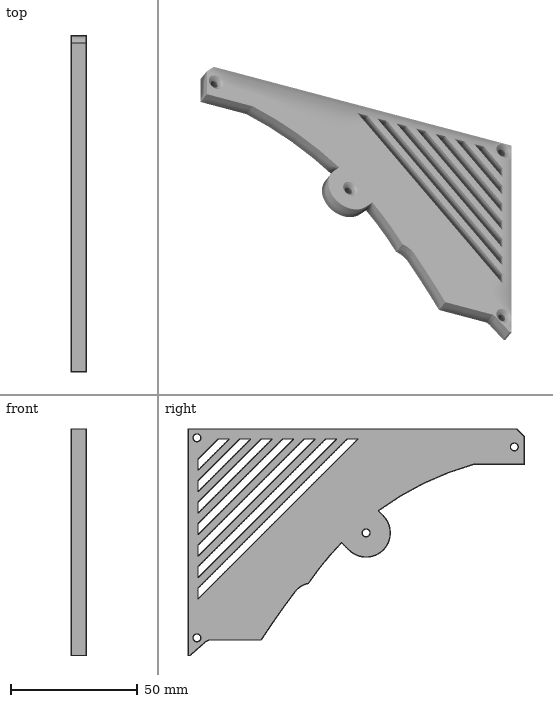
import cadquery as cq
import math

thickness = 6.0
arm_length = 133.0
leg_length = 89.6

arm_end_height = 14.0
arm_end_chamfer = 3.0
arch_start_y = 113.0
arch_end = (47.6, -61.1)
arch_radius = 117.0
step_middle = (45.1, -62.0)
step_end = (42.6, -64.0)
foot_curve_radius = 350.0
foot_z = -83.5
foot_start_y = 28.9
foot_end_y = 8.2
toe_start = (6.9, -84.2)
toe_width = 0.8

lug_center = (70.4, -41.1)
lug_radius = 9.6
neck_length = 14.0
neck_angle = 135.0

hole_diameter = 3.0
countersink_diameter = 6.2
countersink_angle = 90.0
corner_hole_inset = 3.5
arm_hole = (129.0, -7.1)
foot_hole = (corner_hole_inset, -82.6)

slot_count = 7
slot_width = 3.0
slot_pitch = 6.0
slot_border = 4.0
first_slot_leg = 8.0


def midpoint_of_arc(start, end, radius):
    """Middle point of an arc that bulges up toward the square corner."""
    dy = end[0] - start[0]
    dz = end[1] - start[1]
    chord = math.hypot(dy, dz)
    sagitta = radius - math.sqrt(radius**2 - (chord / 2)**2)
    middle_y = (start[0] + end[0]) / 2 + sagitta * dz / chord
    middle_z = (start[1] + end[1]) / 2 - sagitta * dy / chord
    return (middle_y, middle_z)


def plate():
    """Outer profile of the bracket, traced from the square corner along the arm."""
    arch_start = (arch_start_y, -arm_end_height)
    foot_start = (foot_start_y, foot_z)
    return (
        cq.Workplane("YZ")
        .moveTo(0, 0)
        .lineTo(arm_length - arm_end_chamfer, 0)
        .lineTo(arm_length, -arm_end_chamfer)
        .lineTo(arm_length, -arm_end_height)
        .lineTo(*arch_start)
        .threePointArc(midpoint_of_arc(arch_start, arch_end, arch_radius), arch_end)
        .threePointArc(step_middle, step_end)
        .threePointArc(midpoint_of_arc(step_end, foot_start, foot_curve_radius), foot_start)
        .lineTo(foot_end_y, foot_z)
        .lineTo(*toe_start)
        .lineTo(toe_width, -leg_length)
        .lineTo(0, -leg_length)
        .close()
        .extrude(thickness)
    )


def lug():
    """Round lug with a neck as wide as the lug, running diagonally up into the plate."""
    disc = cq.Workplane("YZ").center(*lug_center).circle(lug_radius).extrude(thickness)
    neck = (
        cq.Workplane("YZ")
        .center(*lug_center)
        .transformed(rotate=(0, 0, neck_angle))
        .rect(neck_length, 2 * lug_radius, centered=(False, True))
        .extrude(thickness)
    )
    return disc.union(neck)


def slots():
    """Each slot is a 45 degree strip cut off square by the top and side borders."""
    strip_leg = slot_width * math.sqrt(2)
    leg_pitch = slot_pitch * math.sqrt(2)
    cutter = cq.Workplane("YZ")
    for index in range(slot_count):
        near = slot_border + first_slot_leg + index * leg_pitch
        far = near + strip_leg
        corners = [(near, -slot_border), (far, -slot_border), (slot_border, -far), (slot_border, -near)]
        cutter = cutter.polyline(corners).close()
    return cutter.extrude(thickness)


def drill_screw_holes(body):
    """Screw holes through the plate, countersunk from the -X face."""
    hole_points = [
        (corner_hole_inset, -corner_hole_inset),
        foot_hole,
        arm_hole,
        lug_center,
    ]
    face_plane = cq.Plane(origin=(0, 0, 0), xDir=(0, -1, 0), normal=(-1, 0, 0))
    return (
        cq.Workplane(face_plane)
        .add(body)
        .pushPoints([(-y, z) for y, z in hole_points])
        .cskHole(hole_diameter, countersink_diameter, countersink_angle)
    )


result = drill_screw_holes(plate().union(lug()).cut(slots()))